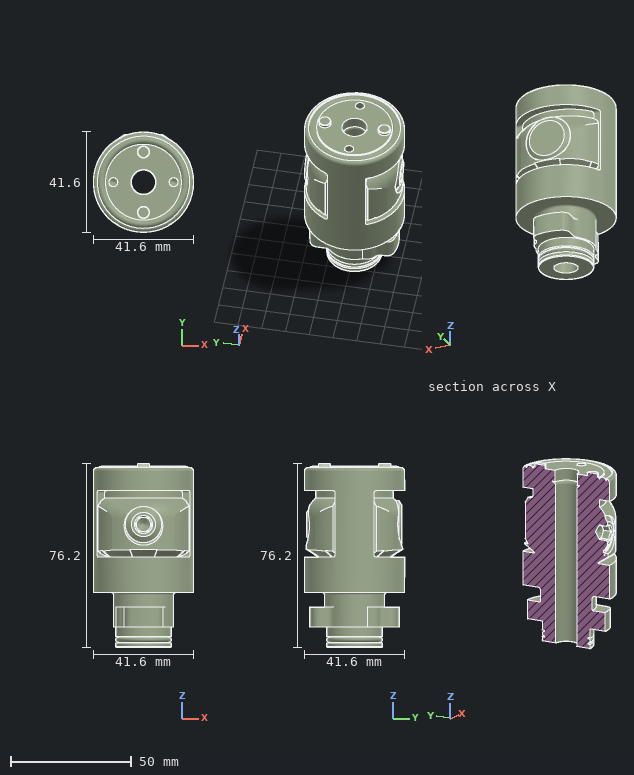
import cadquery as cq
import math

BODY_RADIUS = 20.8
BODY_BOTTOM = 22.8
BODY_TOP = 74.7
RIM_FILLET = 1.7

FACE_RING_SECTION = 1.7
FACE_RING_RADIUS = BODY_RADIUS - RIM_FILLET - FACE_RING_SECTION
FACE_RING_PROUD = 0.43

SPIGOT_RADIUS = 12.5
SPIGOT_BOTTOM = 8.5
SPIGOT_FILLET = 1.0
NOSE_RADIUS = 11.55
NOSE_CHAMFER_WIDTH = 0.2
NOSE_CHAMFER_HEIGHT = 0.45
NOSE_GROOVE_BOTTOM = 1.95
NOSE_GROOVE_TOP = 4.6
NOSE_RING_SECTION = 1.1

BORE_RADIUS = 5.0
BORE_ENTRY_RADIUS = 5.2
BORE_ENTRY_DEPTH = 5.05
BORE_RING_SECTION = 1.75

TOP_PITCH_RADIUS = 12.5
PIN_RADIUS = 2.5
PIN_TOP = 76.17
PIN_CHAMFER = 0.2
PIN_EMBED = 1.0
DRILL_RADIUS = 1.85
DRILL_DEPTH = 5.0
DRILL_TIP_ANGLE = 118.0

WINDOW_BOTTOM = 37.5
WINDOW_TOP = 65.0
WINDOW_WALL = 8.0
WINDOW_FILLET = 1.0

JAW_AXIS_OFFSET = 4.0
JAW_RADIUS = 24.05
JAW_NECK_RADIUS = 20.1
JAW_SHOULDER = 61.9
JAW_DOME_BASE = 53.8
JAW_DOME_RADIUS = 10.2
JAW_LOWER_EDGE = 40.7
JAW_CONE_ANGLE = 32.5
JAW_HALF_WIDTH = 18.75
JAW_END_CHAMFER = 0.9

PAD_HEIGHT = 0.3
RELIEF_PITCH = 60.0
RELIEF_STEPS = (-1, 0, 1)
RELIEF_ANGLE = 27.0
RELIEF_OVERRUN = 1.0

SCREW_HEIGHT = 51.0
SCREW_FACE = 19.83
SCREW_FACE_RADIUS = 5.0
SCREW_RADIUS = 7.55
SCREW_CONE_DEPTH = 1.5
SCREW_POCKET_RADIUS = 8.0
SCREW_POCKET_DROP = 0.55
POCKET_FLOOR = 18.0
SOCKET_FLATS = 6.0
SOCKET_DEPTH = 4.0
SOCKET_COUNTERSINK_RADIUS = 3.73
DISC_FACE = 19.65
DISC_FACE_RADIUS = 7.9
DISC_RADIUS = 10.0
DISC_CONE_DEPTH = 1.25

LUG_TOP = 16.75
LUG_BASE_CLEARANCE = 1.0
LUG_RADIUS = 18.6
LUG_BUMP_ROOT = (-11.3, -5.35)
LUG_BUMP_START = (-11.1, -7.0)
LUG_BUMP_END = (-9.4, -10.1)
LUG_BUMP_ROUND = 4.0
LUG_STEP_FLANK = 8.0
LUG_STEP_INNER = 12.7
LUG_STEP_OUTER = 14.3
LUG_STEP_ROUND = 3.0
LUG_ROUND = 3.5
LUG_FLANK = 8.1
LUG_FLANK_OUTER = 14.4
LUG_FLANK_INNER = 10.8
LUG_ROOT = 8.9
LUG_LAND_HALF_WIDTH = 5.4

SIDES = (-1, 1)
DIAGONAL = math.sqrt(0.5)


def turned_body():
    """Body, spigot, nose and both outer seal rings as one revolved outline."""
    ring_height = (NOSE_GROOVE_BOTTOM + NOSE_GROOVE_TOP) / 2
    ring_low = ring_height - NOSE_RING_SECTION
    ring_high = ring_height + NOSE_RING_SECTION
    ring_centre = NOSE_RADIUS - NOSE_RING_SECTION
    face_ring_top = BODY_TOP + FACE_RING_PROUD
    face_ring_height = face_ring_top - FACE_RING_SECTION
    rim_radius = BODY_RADIUS - RIM_FILLET
    rim_height = BODY_TOP - RIM_FILLET
    face_radius = FACE_RING_RADIUS - FACE_RING_SECTION
    corner = SPIGOT_FILLET * (1 - DIAGONAL)
    return (
        cq.Workplane("XZ")
        .moveTo(0, 0)
        .lineTo(NOSE_RADIUS - NOSE_CHAMFER_WIDTH, 0)
        .lineTo(NOSE_RADIUS, NOSE_CHAMFER_HEIGHT)
        .lineTo(NOSE_RADIUS, NOSE_GROOVE_BOTTOM)
        .lineTo(ring_centre, NOSE_GROOVE_BOTTOM)
        .lineTo(ring_centre, ring_low)
        .threePointArc((NOSE_RADIUS, ring_height), (ring_centre, ring_high))
        .lineTo(ring_centre, NOSE_GROOVE_TOP)
        .lineTo(NOSE_RADIUS, NOSE_GROOVE_TOP)
        .lineTo(NOSE_RADIUS, SPIGOT_BOTTOM)
        .lineTo(SPIGOT_RADIUS, SPIGOT_BOTTOM)
        .lineTo(SPIGOT_RADIUS, BODY_BOTTOM - SPIGOT_FILLET)
        .threePointArc(
            (SPIGOT_RADIUS + corner, BODY_BOTTOM - corner),
            (SPIGOT_RADIUS + SPIGOT_FILLET, BODY_BOTTOM),
        )
        .lineTo(BODY_RADIUS, BODY_BOTTOM)
        .lineTo(BODY_RADIUS, rim_height)
        .threePointArc(
            (rim_radius + RIM_FILLET * DIAGONAL, rim_height + RIM_FILLET * DIAGONAL),
            (rim_radius, BODY_TOP),
        )
        .lineTo(rim_radius, face_ring_height)
        .threePointArc((FACE_RING_RADIUS, face_ring_top), (face_radius, face_ring_height))
        .lineTo(face_radius, BODY_TOP)
        .lineTo(0, BODY_TOP)
        .close()
        .revolve(360, (0, 0), (0, 1))
    )


def bore():
    """Through bore, opening slightly wider above the rounded seal ring."""
    ledge = BODY_TOP - BORE_ENTRY_DEPTH
    ring_radius = BORE_RADIUS + BORE_RING_SECTION
    ring_height = ledge - BORE_RING_SECTION
    return (
        cq.Workplane("XZ")
        .moveTo(0, 0)
        .lineTo(BORE_RADIUS, 0)
        .lineTo(BORE_RADIUS, ring_height)
        .threePointArc(
            (ring_radius - BORE_RING_SECTION * DIAGONAL, ring_height + BORE_RING_SECTION * DIAGONAL),
            (ring_radius, ledge),
        )
        .lineTo(BORE_ENTRY_RADIUS, ledge)
        .lineTo(BORE_ENTRY_RADIUS, BODY_TOP)
        .lineTo(0, BODY_TOP)
        .close()
        .revolve(360, (0, 0), (0, 1))
    )


def window(side):
    """Cutter that opens the body on one Y side, with a rounded inner wall."""
    depth = 2 * BODY_RADIUS
    return (
        cq.Workplane("XY")
        .box(2 * depth, depth, WINDOW_TOP - WINDOW_BOTTOM)
        .edges("|X")
        .fillet(WINDOW_FILLET)
        .translate((0, side * (WINDOW_WALL + depth / 2), (WINDOW_BOTTOM + WINDOW_TOP) / 2))
    )


def jaw_envelope(side):
    """Space a jaw may fill: inside the body cylinder, chamfered at its ends."""
    height = WINDOW_TOP - WINDOW_BOTTOM
    inner_half_width = JAW_HALF_WIDTH - JAW_END_CHAMFER
    chamfer_end = WINDOW_WALL + JAW_END_CHAMFER
    outline = [
        (-inner_half_width, 0),
        (-inner_half_width, side * WINDOW_WALL),
        (-JAW_HALF_WIDTH, side * chamfer_end),
        (-JAW_HALF_WIDTH, side * BODY_RADIUS),
        (JAW_HALF_WIDTH, side * BODY_RADIUS),
        (JAW_HALF_WIDTH, side * chamfer_end),
        (inner_half_width, side * WINDOW_WALL),
        (inner_half_width, 0),
    ]
    base = cq.Workplane("XY").workplane(offset=WINDOW_BOTTOM)
    cylinder = base.circle(BODY_RADIUS).extrude(height)
    return base.polyline(outline).close().extrude(height).intersect(cylinder)


def jaw_relief(centre_angle):
    """Sector cutter that relieves the cone between the raised pads of a jaw."""
    slope = math.tan(math.radians(JAW_CONE_ANGLE))
    outer_radius = JAW_RADIUS + RELIEF_OVERRUN
    outer_height = JAW_LOWER_EDGE + RELIEF_OVERRUN * slope
    bottom = WINDOW_BOTTOM - RELIEF_OVERRUN
    inner_radius = JAW_RADIUS - (JAW_LOWER_EDGE - bottom) / slope
    return (
        cq.Workplane("XZ")
        .polyline([(inner_radius, bottom), (outer_radius, bottom), (outer_radius, outer_height)])
        .close()
        .revolve(RELIEF_ANGLE, (0, 0), (0, 1))
        .rotate((0, 0, 0), (0, 0, 1), centre_angle - RELIEF_ANGLE / 2)
    )


def jaw(side):
    """Domed jaw with a neck above and a cone below, turned about an offset axis."""
    dome_centre = JAW_RADIUS - JAW_DOME_RADIUS
    dome_height = JAW_SHOULDER - JAW_DOME_BASE
    dome_angle = math.asin(dome_height / JAW_DOME_RADIUS)
    dome_top_radius = dome_centre + JAW_DOME_RADIUS * math.cos(dome_angle)
    dome_middle = (
        dome_centre + JAW_DOME_RADIUS * math.cos(dome_angle / 2),
        JAW_DOME_BASE + JAW_DOME_RADIUS * math.sin(dome_angle / 2),
    )
    pad_edge = JAW_LOWER_EDGE - PAD_HEIGHT
    cone_drop = pad_edge - WINDOW_BOTTOM
    cone_radius = JAW_RADIUS - cone_drop / math.tan(math.radians(JAW_CONE_ANGLE))
    turned = (
        cq.Workplane("XZ")
        .moveTo(0, WINDOW_BOTTOM)
        .lineTo(cone_radius, WINDOW_BOTTOM)
        .lineTo(JAW_RADIUS, pad_edge)
        .lineTo(JAW_RADIUS, JAW_DOME_BASE)
        .threePointArc(dome_middle, (dome_top_radius, JAW_SHOULDER))
        .lineTo(JAW_NECK_RADIUS, JAW_SHOULDER)
        .lineTo(JAW_NECK_RADIUS, WINDOW_TOP)
        .lineTo(0, WINDOW_TOP)
        .close()
        .revolve(360, (0, 0), (0, 1))
    )
    for step in RELIEF_STEPS:
        turned = turned.cut(jaw_relief(side * 90 + step * RELIEF_PITCH))
    return turned.translate((0, -side * JAW_AXIS_OFFSET, 0)).intersect(jaw_envelope(side))


def cone_head(face, face_radius, outer_radius, cone_depth):
    """Round head along -Y with a conical edge, rooted in the body core."""
    return (
        cq.Workplane("XY")
        .moveTo(0, 0)
        .lineTo(0, -face)
        .lineTo(face_radius, -face)
        .lineTo(outer_radius, cone_depth - face)
        .lineTo(outer_radius, 0)
        .close()
        .revolve(360, (0, 0), (0, 1))
        .translate((0, 0, SCREW_HEIGHT))
    )


def drilled_hole(radius, depth):
    """Drill cutter pointing down from Z = 0, with a conical tip."""
    tip = radius / math.tan(math.radians(DRILL_TIP_ANGLE / 2))
    return (
        cq.Workplane("XZ")
        .polyline([(0, 0), (radius, 0), (radius, -depth), (0, -depth - tip)])
        .close()
        .revolve(360, (0, 0), (0, 1))
    )


def screw_socket():
    """Countersunk hexagon socket with a drilled tip, cut into the screw face."""
    corner_radius = SOCKET_FLATS / math.sqrt(3)
    flat_radius = SOCKET_FLATS / 2
    hexagon = cq.Workplane("XY").polygon(6, 2 * corner_radius).extrude(-SOCKET_DEPTH)
    countersink_depth = SOCKET_COUNTERSINK_RADIUS - flat_radius
    countersink = (
        cq.Workplane("XY")
        .circle(SOCKET_COUNTERSINK_RADIUS)
        .workplane(offset=-countersink_depth)
        .circle(flat_radius)
        .loft()
    )
    cutter = hexagon.union(countersink).union(drilled_hole(flat_radius, SOCKET_DEPTH))
    return cutter.rotate((0, 0, 0), (1, 0, 0), 90).translate((0, -SCREW_FACE, SCREW_HEIGHT))


def pocket(radius, height):
    """Round recess cutter for the -Y jaw face, centred at the given height."""
    return (
        cq.Workplane("XZ", origin=(0, -POCKET_FLOOR, height))
        .circle(radius)
        .extrude(BODY_RADIUS - POCKET_FLOOR)
    )


def half_turn(shape):
    """Shape turned 180 degrees about the part axis."""
    return shape.rotate((0, 0, 0), (0, 0, 1), 180)


def lug():
    """Bayonet lug on the -Y side: stepped flank at -X, straight flank at +X."""
    lug_base_y = -BORE_RADIUS - LUG_BASE_CLEARANCE
    root_y = -math.sqrt(SPIGOT_RADIUS**2 - LUG_ROOT**2)
    land_y = -math.sqrt(LUG_RADIUS**2 - LUG_LAND_HALF_WIDTH**2)
    return (
        cq.Workplane("XY")
        .workplane(offset=SPIGOT_BOTTOM)
        .moveTo(0, lug_base_y)
        .lineTo(*LUG_BUMP_ROOT)
        .lineTo(*LUG_BUMP_START)
        .radiusArc(LUG_BUMP_END, -LUG_BUMP_ROUND)
        .radiusArc((-LUG_STEP_FLANK, -LUG_STEP_INNER), LUG_STEP_ROUND)
        .lineTo(-LUG_STEP_FLANK, -LUG_STEP_OUTER)
        .tangentArcPoint((-LUG_LAND_HALF_WIDTH, land_y), relative=False)
        .threePointArc((0, -LUG_RADIUS), (LUG_LAND_HALF_WIDTH, land_y))
        .radiusArc((LUG_FLANK, -LUG_FLANK_OUTER), -LUG_ROUND)
        .lineTo(LUG_FLANK, -LUG_FLANK_INNER)
        .tangentArcPoint((LUG_ROOT, root_y), relative=False)
        .lineTo(LUG_ROOT, lug_base_y)
        .close()
        .extrude(LUG_TOP - SPIGOT_BOTTOM)
    )


def pin(side):
    """Chamfered locating pin standing on the top face, on one Y side."""
    return (
        cq.Workplane("XY", origin=(0, side * TOP_PITCH_RADIUS, BODY_TOP - PIN_EMBED))
        .circle(PIN_RADIUS)
        .extrude(PIN_TOP - BODY_TOP + PIN_EMBED)
        .faces(">Z")
        .chamfer(PIN_CHAMFER)
    )


result = turned_body()

for y_side in SIDES:
    result = result.cut(window(y_side)).union(jaw(y_side)).union(pin(y_side))

result = result.cut(pocket(SCREW_POCKET_RADIUS, SCREW_HEIGHT - SCREW_POCKET_DROP))
result = result.union(cone_head(SCREW_FACE, SCREW_FACE_RADIUS, SCREW_RADIUS, SCREW_CONE_DEPTH))
result = result.cut(screw_socket())

cover_disc = cone_head(DISC_FACE, DISC_FACE_RADIUS, DISC_RADIUS, DISC_CONE_DEPTH)
result = result.cut(half_turn(pocket(DISC_RADIUS, SCREW_HEIGHT)))
result = result.union(half_turn(cover_disc))

result = result.union(lug()).union(half_turn(lug()))

for x_side in SIDES:
    hole = drilled_hole(DRILL_RADIUS, DRILL_DEPTH)
    result = result.cut(hole.translate((x_side * TOP_PITCH_RADIUS, 0, BODY_TOP)))

result = result.cut(bore())